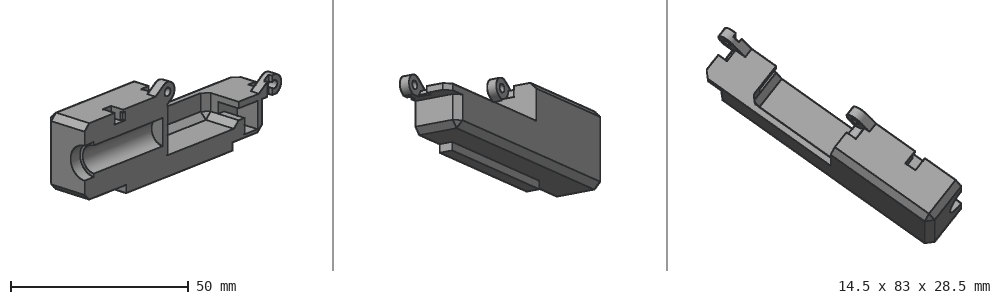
import cadquery as cq

width = 14.5
length = 83.0
height = 28.5

wall = 2.0
chamfer = 2.0
rail_height = 2.5
hinge_radius = 3.0
body_bottom = rail_height
body_top = height - hinge_radius
mid_height = (body_bottom + body_top) / 2
body_length = 74.95
step_y = 35.0
plate_bottom = mid_height - wall
plate_end = length - hinge_radius

rail_width = 4.2
rail_start = 17.5
rail_end = 62.5

tray_end = 65.0
tray_depth = 7.55
opening_width = 7.7
opening_length = 2.5
chamber_floor = 1.0

mouth_radius = 5.2
mouth_depth = 4.0
bore_radius = 4.2

undercut = 1.0
latch_width = 4.5
latch_start = 12.8
latch_length = 3.5
latch_depth = 3.5

hinge_width = 3.1
hinge_hole = 2.5
lower_hinge_rise = 1.0
hinge_slope = 36.0
hinge_tail = 7.5
mating_width = 7.05
mating_clearance = 0.25
mating_gap = 2.1
notch_width = 1.25
notch_length = 2.0
notch_offset = 0.9

upper_hinge = (step_y, body_top)
lower_hinge = (plate_end, mid_height + lower_hinge_rise)


def box(x0, x1, y0, y1, z0, z1):
    return cq.Workplane("XY").box(x1 - x0, y1 - y0, z1 - z0, centered=False).translate((x0, y0, z0))


def rod(center, radius, rod_width):
    """Cylinder along X that ends at the split face, centred at (y, z)."""
    return cq.Workplane("YZ", origin=(width, 0, 0)).center(*center).circle(radius).extrude(-rod_width)


def make_body():
    body = box(0, width, 0, body_length, body_bottom, body_top)
    body = body.edges("<X or (<Y and |X) or (>Y and <Z)").chamfer(chamfer)
    body = body.cut(box(0, width, step_y, body_length, mid_height, body_top))
    plate = box(0, width, step_y, plate_end, plate_bottom, mid_height)
    plate = plate.edges("|Z and <X and >Y").chamfer(chamfer)
    rail = box(width - rail_width, width, rail_start, rail_end, 0, body_bottom + chamfer)
    return body.union(plate).union(rail)


def make_tray():
    tray = box(wall, 2 * width, step_y, tray_end, mid_height - tray_depth, mid_height)
    return tray.edges("(|Z and <X and >Y) or (<Z and <X) or (<Z and >Y)").chamfer(chamfer)


def make_chamber():
    opening_x = width - opening_width
    opening_end = tray_end + opening_length
    opening_floor = mid_height - tray_depth + chamfer
    opening = box(opening_x, width, tray_end, opening_end, opening_floor, plate_bottom)
    chamber = box(
        opening_x, width,
        opening_end, body_length - wall,
        body_bottom + chamber_floor, plate_bottom,
    )
    return opening.union(chamber)


def make_front_bore():
    bore_length = step_y - wall
    mouth = cq.Workplane("XZ").center(width, mid_height).circle(mouth_radius).extrude(-mouth_depth)
    bore = cq.Workplane("XZ").center(width, mid_height).circle(bore_radius).extrude(-bore_length)
    return mouth.union(bore)


def make_latch_slot():
    latch_x = width - latch_width
    latch_end = latch_start + latch_length
    latch_bottom = body_top - latch_depth
    slot = box(latch_x, width, latch_start, latch_end, latch_bottom, body_top)
    corner = box(width - undercut, width, latch_start, latch_end + undercut, latch_bottom, body_top - undercut)
    return slot.union(corner)


def make_knuckle(center):
    """Round eye with a parallel-sided tail sloping down into the body."""
    y, z = center
    tail = box(width - hinge_width, width, -hinge_tail, 0, -hinge_radius, hinge_radius)
    tail = tail.rotate((0, 0, 0), (1, 0, 0), hinge_slope).translate((0, y, z))
    return rod(center, hinge_radius, hinge_width).union(tail)


result = make_body().cut(make_tray()).cut(make_chamber())
result = result.cut(make_front_bore()).cut(make_latch_slot())

for hinge in (upper_hinge, lower_hinge):
    result = result.cut(rod(hinge, hinge_radius + mating_clearance, mating_width))
result = result.cut(
    box(width - mating_width, width, plate_end - mating_gap, plate_end, plate_bottom, mid_height)
)

above_plate = box(0, width, 0, length, plate_bottom, height)
for hinge in (upper_hinge, lower_hinge):
    result = result.union(make_knuckle(hinge).intersect(above_plate))
    result = result.cut(rod(hinge, hinge_hole / 2, hinge_width))

notch_end = plate_end - notch_offset
result = result.cut(
    box(width - notch_width, width, notch_end - notch_length, notch_end, plate_bottom, height)
)